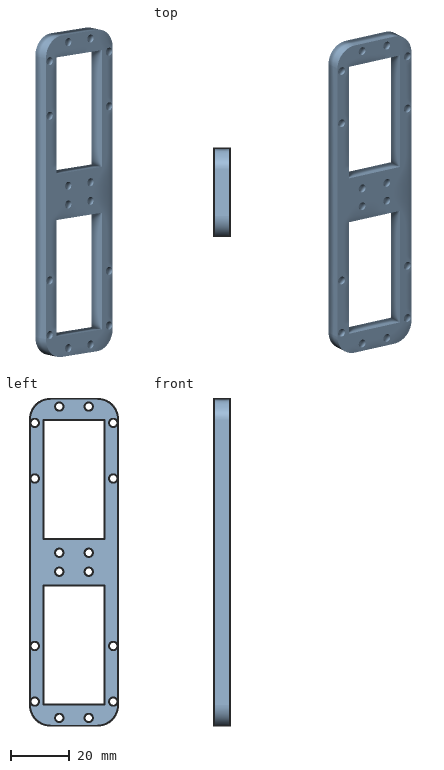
import cadquery as cq

thickness = 5.5
width = 30.0
height = 111.0
corner_radius = 7.0

window_width = 20.5
window_height = 40.3
window_center_z = 28.1

hole_diameter = 2.8
inner_hole_y = 5.0
end_hole_z = 52.8
middle_hole_z = 3.2
side_hole_y = 13.3
side_hole_heights = (28.4, 47.3)


def mirrored(y, z):
    """Four points symmetric about both centre lines of the plate."""
    return [(sign_y * y, sign_z * z) for sign_y in (-1, 1) for sign_z in (-1, 1)]


hole_points = mirrored(inner_hole_y, end_hole_z) + mirrored(inner_hole_y, middle_hole_z)
for side_hole_z in side_hole_heights:
    hole_points += mirrored(side_hole_y, side_hole_z)

plate = cq.Workplane("YZ").rect(width, height).extrude(thickness / 2, both=True)
plate = plate.edges("|X").fillet(corner_radius)

windows = (
    cq.Workplane("YZ")
    .pushPoints([(0, -window_center_z), (0, window_center_z)])
    .rect(window_width, window_height)
    .extrude(thickness, both=True)
)
holes = (
    cq.Workplane("YZ")
    .pushPoints(hole_points)
    .circle(hole_diameter / 2)
    .extrude(thickness, both=True)
)

result = plate.cut(windows).cut(holes)